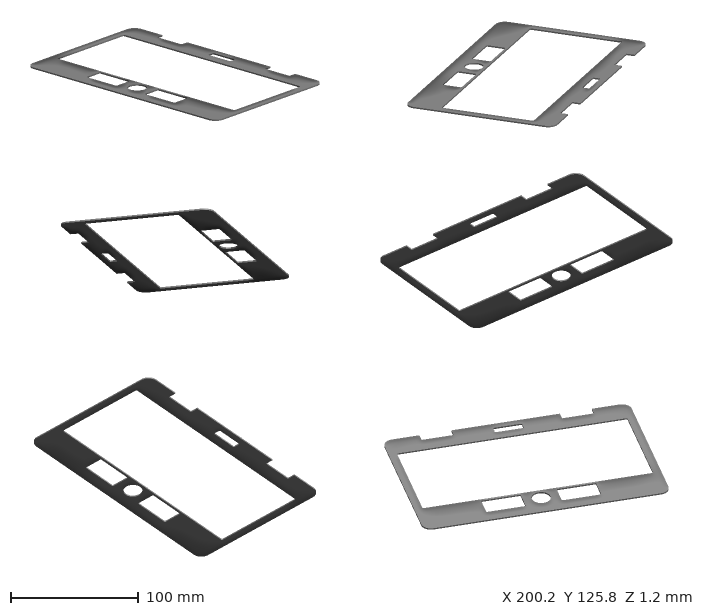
import cadquery as cq

PLATE_LENGTH = 200.2
PLATE_WIDTH = 125.82
PLATE_THICKNESS = 1.2
PLATE_CORNER_RADIUS = 7.8

NOTCH_LENGTH = 25.9
NOTCH_DEPTH = 6.6
NOTCH_OFFSET = 56.9

SLOT_LENGTH = 23.4
SLOT_WIDTH = 6.1
SLOT_EDGE_DISTANCE = 5.4

WINDOW_LENGTH = 186.8
WINDOW_WIDTH = 77.6
WINDOW_EDGE_DISTANCE = 19.6

CONTROL_ROW_EDGE_DISTANCE = 107.1
BUTTON_HOLE_DIAMETER = 15.0
PANEL_LENGTH = 31.9
PANEL_WIDTH = 16.0
PANEL_OFFSET = 30.6

OPENING_CORNER_RADIUS = 1.0

BACK_EDGE_Y = PLATE_WIDTH / 2
CONTROL_ROW_Y = BACK_EDGE_Y - CONTROL_ROW_EDGE_DISTANCE


def block(length, width, center_x, center_y):
    """Block of the plate's thickness, standing on Z = 0."""
    return (
        cq.Workplane("XY")
        .center(center_x, center_y)
        .rect(length, width)
        .extrude(PLATE_THICKNESS)
    )


def rounded_block(length, width, center_x, center_y, radius):
    """Block with its four upright edges rounded."""
    return block(length, width, center_x, center_y).edges("|Z").fillet(radius)


def opening(length, width, center_x, center_y):
    """Cutter for a rectangular through opening with rounded corners."""
    return rounded_block(length, width, center_x, center_y, OPENING_CORNER_RADIUS)


def notch(center_x):
    """Cutter for a square-cornered notch in the back edge."""
    return block(NOTCH_LENGTH, NOTCH_DEPTH, center_x, BACK_EDGE_Y - NOTCH_DEPTH / 2)


def slot():
    center_y = BACK_EDGE_Y - SLOT_EDGE_DISTANCE - SLOT_WIDTH / 2
    return opening(SLOT_LENGTH, SLOT_WIDTH, 0, center_y)


def window():
    center_y = BACK_EDGE_Y - WINDOW_EDGE_DISTANCE - WINDOW_WIDTH / 2
    return opening(WINDOW_LENGTH, WINDOW_WIDTH, 0, center_y)


def button_hole():
    return (
        cq.Workplane("XY")
        .center(0, CONTROL_ROW_Y)
        .circle(BUTTON_HOLE_DIAMETER / 2)
        .extrude(PLATE_THICKNESS)
    )


plate = rounded_block(PLATE_LENGTH, PLATE_WIDTH, 0, 0, PLATE_CORNER_RADIUS)
plate = plate.cut(slot()).cut(window()).cut(button_hole())
for side in (-1, 1):
    plate = plate.cut(notch(side * NOTCH_OFFSET))
    plate = plate.cut(opening(PANEL_LENGTH, PANEL_WIDTH, side * PANEL_OFFSET, CONTROL_ROW_Y))

result = plate